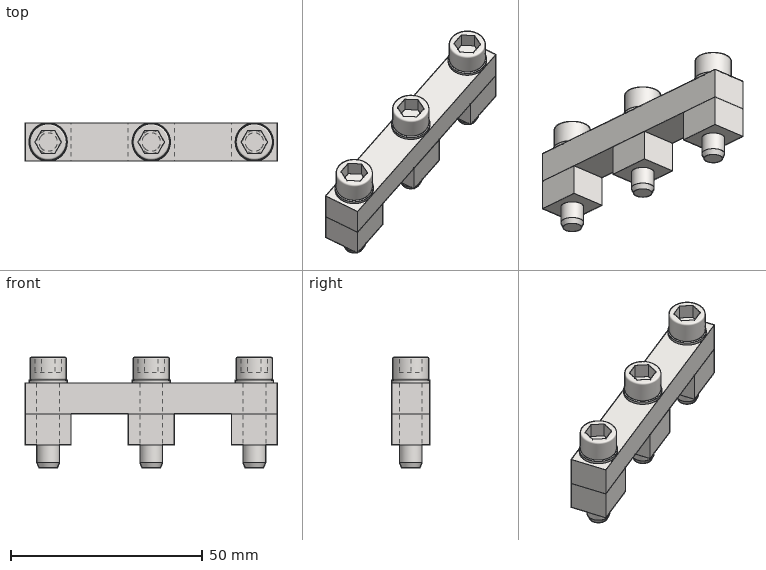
import cadquery as cq
import math

bar_length = 66.0
bar_width = 10.0
bar_height = 8.1

block_length = 12.1
block_height = bar_height

screw_pitch = (bar_length - block_length) / 2
shank_diameter = 6.0
shank_protrusion = 6.0
tip_chamfer_height = 1.4
tip_chamfer_width = 0.6
head_diameter = 9.5
head_height = 6.0
head_fillet = 0.45
washer_diameter = 10.0
washer_thickness = 0.7

socket_sides = 6
socket_across_flats = 6.0
socket_depth = 4.0

bar_top = bar_height
block_bottom = -block_height
head_bottom = bar_top + washer_thickness
head_top = head_bottom + head_height
tip_bottom = block_bottom - shank_protrusion

screw_positions = [-screw_pitch, 0.0, screw_pitch]


def vertical_cylinder(x, diameter, bottom, height):
    return cq.Workplane("XY", origin=(x, 0, bottom)).circle(diameter / 2).extrude(height)


def shank_hole(x):
    """Cylinder that cuts the screw hole through every part at this position."""
    return vertical_cylinder(x, shank_diameter, block_bottom, head_bottom - block_bottom)


def make_bar():
    bar = cq.Workplane("XY").box(bar_length, bar_width, bar_height, centered=(True, True, False))
    for x in screw_positions:
        bar = bar.cut(shank_hole(x))
    return bar


def make_block(x):
    block = cq.Workplane("XY", origin=(x, 0, block_bottom)).box(
        block_length, bar_width, block_height, centered=(True, True, False)
    )
    return block.cut(shank_hole(x))


def make_washer(x):
    washer = vertical_cylinder(x, washer_diameter, bar_top, washer_thickness)
    return washer.cut(shank_hole(x))


def make_screw(x):
    """Socket head cap screw with a rounded head and a tapered tip."""
    head = vertical_cylinder(x, head_diameter, head_bottom, head_height)
    head = head.edges("%CIRCLE").fillet(head_fillet)

    shank = vertical_cylinder(x, shank_diameter, tip_bottom, head_bottom - tip_bottom)
    shank = shank.faces("<Z").chamfer(tip_chamfer_height, tip_chamfer_width)

    socket_across_corners = socket_across_flats / math.cos(math.pi / socket_sides)
    socket = (
        cq.Workplane("XY", origin=(x, 0, head_top))
        .polygon(socket_sides, socket_across_corners)
        .extrude(-socket_depth)
    )
    return head.union(shank).cut(socket)


bar = make_bar()
blocks = [make_block(x) for x in screw_positions]
washers = [make_washer(x) for x in screw_positions]
screws = [make_screw(x) for x in screw_positions]

bodies = [bar, *blocks, *washers, *screws]
result = cq.Compound.makeCompound([body.val() for body in bodies])